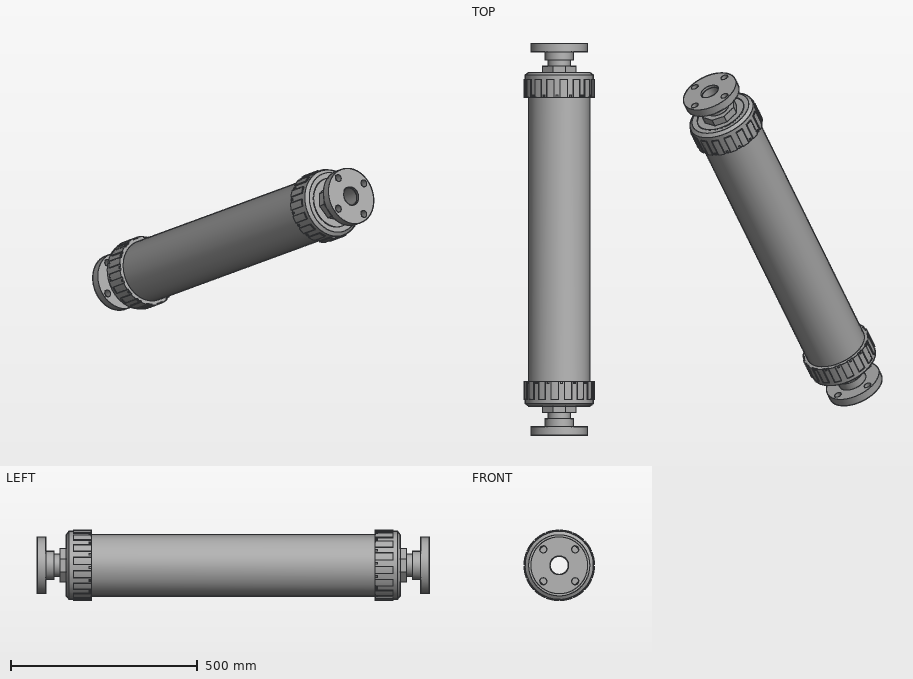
import cadquery as cq
import math

total_length = 1051.0
tube_diameter = 166.0

flange_diameter = 152.0
flange_thickness = 23.0
bolt_hole_diameter = 19.0
bolt_circle_diameter = 121.0
bolt_count = 4
bolt_start_angle = 45.0

collar_diameter = 77.0
collar_length = 22.0
neck_diameter = 61.0
neck_length = 16.0
octagon_width = 90.0
octagon_flat_width = 35.0
octagon_height = 17.0

bore_diameter = 48.0
mouth_diameter = 50.0
mouth_depth = 7.0

nut_diameter = 183.0
nut_length = 67.0
nut_edge_drop = 7.0
nut_edge_inset = 9.0
recess_diameter = 135.0
recess_depth = 3.0
grip_diameter = 189.0
grip_length = 48.0
grip_count = 16
grip_pad_angle = 12.0
grip_pad_offset = -7.6
grip_nub_angle = 2.8
grip_nub_length = 6.0
grip_nub_diameter = 186.0

collar_start = flange_thickness
neck_start = collar_start + collar_length
octagon_start = neck_start + neck_length
nut_start = octagon_start + octagon_height
nut_end = nut_start + nut_length
grip_start = nut_end - grip_length
half_length = total_length / 2
grip_pitch = 360 / grip_count


def section_plane(distance):
    """Plane facing +Y, set the given distance in from the -Y flange face."""
    return cq.Plane(origin=(0, distance - half_length, 0), xDir=(1, 0, 0), normal=(0, 1, 0))


def disc(diameter, start, end):
    return cq.Workplane(section_plane(start)).circle(diameter / 2).extrude(end - start)


def flange():
    holes = (
        cq.Workplane(section_plane(0))
        .polarArray(bolt_circle_diameter / 2, bolt_start_angle, 360, bolt_count)
        .circle(bolt_hole_diameter / 2)
        .extrude(flange_thickness)
    )
    return disc(flange_diameter, 0, flange_thickness).cut(holes)


def spout():
    """Collar, neck and octagon; the octagon is seated on the recess floor of the nut."""
    collar = disc(collar_diameter, collar_start, neck_start)
    neck = disc(neck_diameter, neck_start, octagon_start)
    octagon = (
        cq.Workplane(section_plane(octagon_start))
        .rect(octagon_width, octagon_width)
        .extrude(octagon_height + recess_depth)
        .edges("|Y")
        .chamfer((octagon_width - octagon_flat_width) / 2)
    )
    return collar.union(neck).union(octagon)


def ring_of_sectors(diameter, sector_angle, first_angle, start):
    """Evenly spaced sectors, up to the given diameter, from start to the inner end of the nut."""
    outer_radius = diameter / 2
    inner_radius = tube_diameter / 2
    ring = cq.Workplane(section_plane(start))
    for index in range(grip_count):
        middle = first_angle + index * grip_pitch

        def point(radius, turn):
            angle = math.radians(middle + turn * sector_angle / 2)
            return radius * math.cos(angle), radius * math.sin(angle)

        ring = (
            ring.moveTo(*point(inner_radius, -1))
            .lineTo(*point(outer_radius, -1))
            .threePointArc(point(outer_radius, 0), point(outer_radius, 1))
            .lineTo(*point(inner_radius, 1))
            .close()
        )
    return ring.extrude(nut_end - start)


def grip():
    """Raised pads around the nut, with a small nub in the middle of each gap at the inner end."""
    pads = ring_of_sectors(grip_diameter, grip_pad_angle, grip_pad_offset, grip_start)
    nub_offset = grip_pad_offset + grip_pitch / 2
    nubs = ring_of_sectors(grip_nub_diameter, grip_nub_angle, nub_offset, nut_end - grip_nub_length)
    return pads.union(nubs)


def union_nut():
    body = (
        disc(nut_diameter, nut_start, nut_end)
        .faces("<Y")
        .edges()
        .chamfer(nut_edge_drop, nut_edge_inset)
    )
    recess = disc(recess_diameter, nut_start, nut_start + recess_depth)
    return body.cut(recess).union(grip())


def end_fitting():
    return flange().union(union_nut()).union(spout())


def bore():
    mouth = disc(mouth_diameter, 0, mouth_depth)
    far_mouth = disc(mouth_diameter, total_length - mouth_depth, total_length)
    return disc(bore_diameter, 0, total_length).union(mouth).union(far_mouth)


near_fitting = end_fitting()
far_fitting = near_fitting.rotate((0, 0, 0), (0, 0, 1), 180)
tube = disc(tube_diameter, nut_end, total_length - nut_end)

result = tube.union(near_fitting).union(far_fitting).cut(bore())